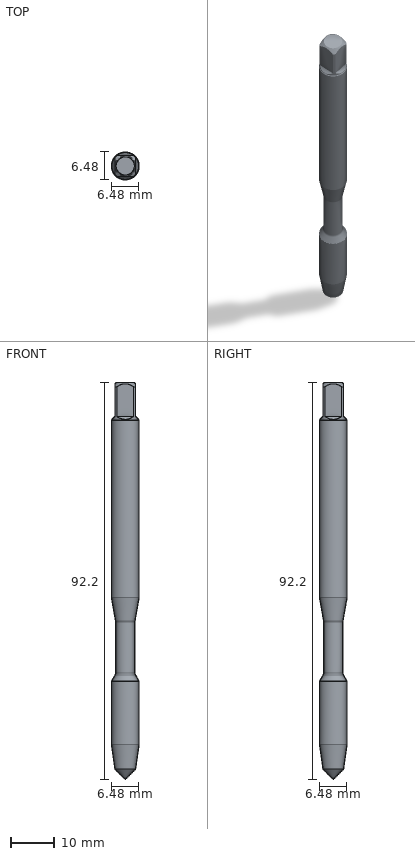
import cadquery as cq
import math


overall_length = 92.21

thread_diameter = 6.48
point_diameter = 4.84
collar_diameter = 6.45
neck_diameter = 4.51
shank_diameter = 6.48
square_corner_diameter = 6.22
square_end_diameter = 4.22

thread_radius = thread_diameter / 2
point_radius = point_diameter / 2
collar_radius = collar_diameter / 2
neck_radius = neck_diameter / 2
shank_radius = shank_diameter / 2
corner_radius = square_corner_diameter / 2
square_end_radius = square_end_diameter / 2

thread_lead_z = 8.18
thread_end_z = 22.72
collar_base_z = 22.83
shank_taper_z = 42.29
shank_top_z = 83.5
square_foot_z = 84.34

square_width = 4.83
foot_slope_angle = 45
shank_top_chamfer = shank_radius - corner_radius
square_end_chamfer = corner_radius - square_end_radius

point_half_angle = 45
collar_half_angle = 30
shank_taper_half_angle = 10
neck_blend_radius = 1.0


def cone_length(radius_change, half_angle):
    """Axial length of a cone whose side leans half_angle degrees from the axis."""
    return radius_change / math.tan(math.radians(half_angle))


def make_thread():
    """Threaded section: conical point, tapered lead and full-diameter cylinder."""
    outline = [
        (0, 0),
        (point_radius, cone_length(point_radius, point_half_angle)),
        (thread_radius, thread_lead_z),
        (thread_radius, thread_end_z),
        (0, thread_end_z),
    ]
    return cq.Workplane("XZ").polyline(outline).close().revolve(360, (0, 0), (0, 1))


def neck_blend(corner_z, half_angle, side):
    """Points of the arc that blends the neck into a cone: on the neck, midway, on the cone.

    The neck and cone lines cross at corner_z; side is +1 if the cone lies above it, -1 if below.
    """
    lean = math.radians(half_angle)
    tangent_length = neck_blend_radius * math.tan(lean / 2)
    neck_z = corner_z - side * tangent_length

    def arc_point(turn):
        radius = neck_radius + neck_blend_radius * (1 - math.cos(turn))
        return radius, neck_z + side * neck_blend_radius * math.sin(turn)

    return arc_point(0), arc_point(lean / 2), arc_point(lean)


def make_shank_blank():
    """Turned blank: collar, blended neck, taper, shank and the round stock of the square."""
    neck_bottom_z = collar_base_z + cone_length(collar_radius - neck_radius, collar_half_angle)
    neck_top_z = shank_taper_z - cone_length(shank_radius - neck_radius, shank_taper_half_angle)
    lower_neck, lower_middle, lower_cone = neck_blend(neck_bottom_z, collar_half_angle, -1)
    upper_neck, upper_middle, upper_cone = neck_blend(neck_top_z, shank_taper_half_angle, 1)
    outline = (
        cq.Workplane("XZ")
        .moveTo(0, thread_end_z)
        .lineTo(collar_radius, thread_end_z)
        .lineTo(collar_radius, collar_base_z)
        .lineTo(*lower_cone)
        .threePointArc(lower_middle, lower_neck)
        .lineTo(*upper_neck)
        .threePointArc(upper_middle, upper_cone)
        .lineTo(shank_radius, shank_taper_z)
        .lineTo(shank_radius, shank_top_z - shank_top_chamfer)
        .lineTo(corner_radius, shank_top_z)
        .lineTo(corner_radius, overall_length - square_end_chamfer)
        .lineTo(square_end_radius, overall_length)
        .lineTo(0, overall_length)
        .close()
    )
    return outline.revolve(360, (0, 0), (0, 1))


def make_flat_cutter():
    """Cutter for the -Y flat, with a sloping run-out at the foot of the flat."""
    flat_y = -square_width / 2
    outer_y = -shank_diameter
    foot_drop = (flat_y - outer_y) * math.tan(math.radians(foot_slope_angle))
    outline = [
        (flat_y, square_foot_z),
        (flat_y, overall_length),
        (outer_y, overall_length),
        (outer_y, square_foot_z - foot_drop),
    ]
    return cq.Workplane("YZ").polyline(outline).close().extrude(shank_radius, both=True)


def make_shank():
    """Shank blank with four flats cut around its top end to form the driving square."""
    shank = make_shank_blank()
    cutter = make_flat_cutter()
    for quarter in range(4):
        shank = shank.cut(cutter.rotate((0, 0, 0), (0, 0, 1), 90 * quarter))
    return shank


thread = make_thread()
shank = make_shank()

result = cq.Compound.makeCompound([thread.val(), shank.solids().val()])